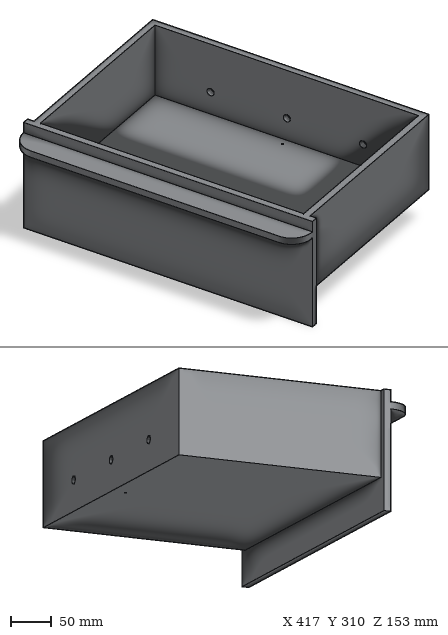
import cadquery as cq

panel_width = 417.0
panel_height = 153.0
total_depth = 310.0

board = 9.0
floor_thickness = 8.0
box_height = 109.3
box_width = panel_width - 2 * board

handle_depth = 30.0
handle_corner_radius = 29.5
handle_drop = 15.0

back_hole_diameter = 10.0
back_hole_spacing = 110.0
back_hole_height = 39.5
floor_hole_diameter = 2.5
floor_hole_inset = 19.0

panel_front_y = handle_depth
cavity_front_y = panel_front_y + board
box_bottom_z = panel_height - box_height
floor_top_z = box_bottom_z + floor_thickness


def block(width, front_y, back_y, bottom_z, top_z):
    """Box centred on X between the given Y and Z limits."""
    size = (width, back_y - front_y, top_z - bottom_z)
    return cq.Workplane("XY").box(*size, centered=(True, False, False)).translate((0, front_y, bottom_z))


def front_panel():
    return block(panel_width, panel_front_y, cavity_front_y, 0, panel_height)


def open_box():
    """Tray whose front is closed by the panel."""
    body = block(box_width, cavity_front_y, total_depth, box_bottom_z, panel_height)
    cavity = block(box_width - 2 * board, cavity_front_y, total_depth - board, floor_top_z, panel_height)
    return body.cut(cavity)


def handle():
    """Full-width shelf with rounded front corners."""
    top_z = panel_height - handle_drop
    shelf = block(panel_width, 0, panel_front_y, top_z - board, top_z)
    return shelf.edges("|Z and <Y").fillet(handle_corner_radius)


def back_holes():
    """Row of three holes through the back wall."""
    places = [(step * back_hole_spacing, box_bottom_z + back_hole_height) for step in (-1, 0, 1)]
    back_plane = cq.Workplane("XZ", origin=(0, total_depth, 0))
    return back_plane.pushPoints(places).circle(back_hole_diameter / 2).extrude(board)


def floor_hole():
    """Small hole through the floor, near the middle of the back wall."""
    floor_plane = cq.Workplane("XY", origin=(0, total_depth - floor_hole_inset, box_bottom_z))
    return floor_plane.circle(floor_hole_diameter / 2).extrude(floor_thickness)


result = front_panel().union(open_box()).union(handle()).cut(back_holes()).cut(floor_hole())